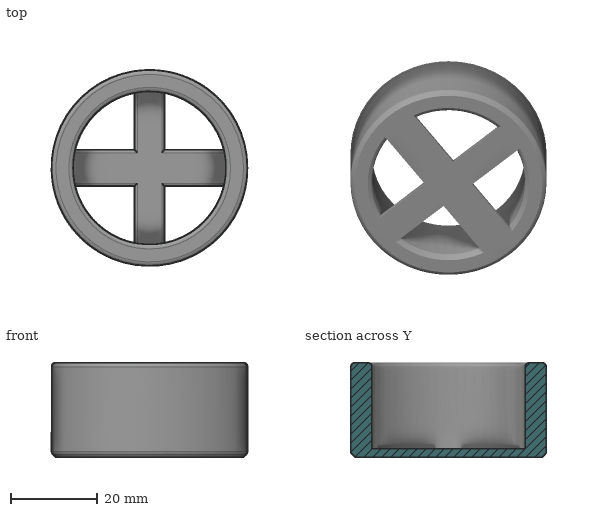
import cadquery as cq

OUTER_DIAMETER = 45.5
INNER_DIAMETER = 35.5
HEIGHT = 22.0
TOP_FILLET = 1.0

BOTTOM_CHAMFER = 1.0
CHAMFER_BLEND = 1.0

X_BAR_WIDTH = 8.5
Y_BAR_WIDTH = 7.0
BAR_HEIGHT = 2.0
BAR_FILLET = 0.7

OUTER_RADIUS = OUTER_DIAMETER / 2
INNER_RADIUS = INNER_DIAMETER / 2


def make_ring():
    """Ring with a rounded top and a blended chamfer on both bottom rims."""
    profile = (
        cq.Workplane("XZ")
        .moveTo(INNER_RADIUS + BOTTOM_CHAMFER, 0)
        .lineTo(OUTER_RADIUS - BOTTOM_CHAMFER, 0)
        .lineTo(OUTER_RADIUS, BOTTOM_CHAMFER)
        .lineTo(OUTER_RADIUS, HEIGHT)
        .lineTo(INNER_RADIUS, HEIGHT)
        .lineTo(INNER_RADIUS, BOTTOM_CHAMFER)
        .close()
    )
    ring = profile.revolve(360, (0, 0, 0), (0, 1, 0))
    ring = ring.faces(">Z").edges().fillet(TOP_FILLET)
    return ring.edges("%CIRCLE").edges(">>Z[1]").fillet(CHAMFER_BLEND)


def make_cross():
    """Two crossing bars with rounded upper edges, ending inside the ring wall."""
    bar_length = (INNER_DIAMETER + OUTER_DIAMETER) / 2
    x_bar = cq.Workplane("XY").box(bar_length, X_BAR_WIDTH, BAR_HEIGHT, centered=(True, True, False))
    y_bar = cq.Workplane("XY").box(Y_BAR_WIDTH, bar_length, BAR_HEIGHT, centered=(True, True, False))
    cross = x_bar.union(y_bar)
    cross = cross.faces(">Z").edges().fillet(BAR_FILLET)
    opening = cq.Workplane("XY").circle(INNER_RADIUS + BOTTOM_CHAMFER).extrude(BAR_HEIGHT)
    return cross.intersect(opening)


result = make_ring().union(make_cross())